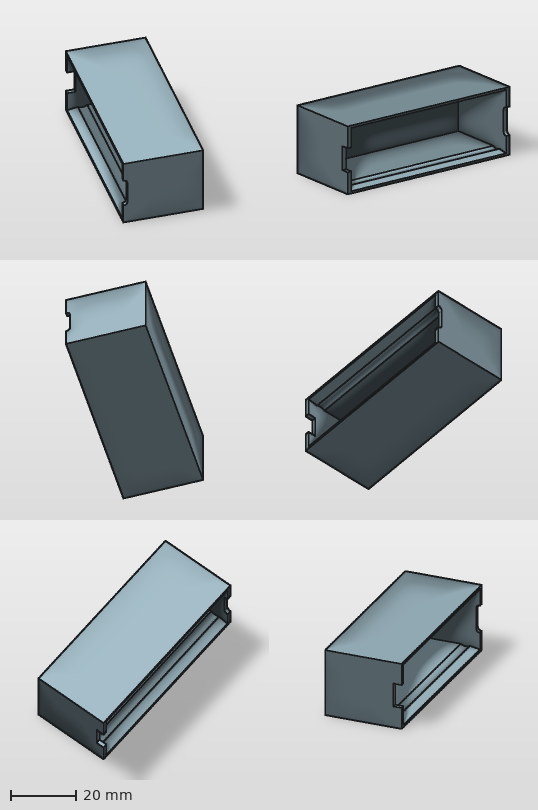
import cadquery as cq

LENGTH = 62.5
DEPTH = 25.5
HEIGHT = 22.0
END_WALL = 1.45
BACK_WALL = 1.45

MOUTH_WALL = 0.75
CREST_WALL = 1.3
PLATE_WALL = 1.5
CREST_INSET = 3.25
CREST_FLAT = 0.2
RELIEF_LENGTH = 3.0
RELIEF_DEPTH = 0.45

LEFT_NOTCH_DEPTH = 2.7
LEFT_NOTCH_HEIGHT = 7.75
RIGHT_NOTCH_DEPTH = 1.3
RIGHT_NOTCH_HEIGHT = 9.25

FRONT = -DEPTH / 2
BACK = DEPTH / 2


def cavity():
    """Extrude the inner section, symmetric about mid-height, along X."""
    mouth = HEIGHT / 2 - MOUTH_WALL
    crest = HEIGHT / 2 - CREST_WALL
    plate = HEIGHT / 2 - PLATE_WALL
    relief_bottom = (crest + plate) / 2 + RELIEF_DEPTH
    crest_y = FRONT + CREST_INSET
    relief_start_y = crest_y + CREST_FLAT
    relief_mid_y = relief_start_y + RELIEF_LENGTH / 2
    relief_end_y = relief_start_y + RELIEF_LENGTH
    inner_back = BACK - BACK_WALL
    return (
        cq.Workplane("YZ")
        .moveTo(FRONT, -mouth)
        .lineTo(crest_y, -crest)
        .lineTo(relief_start_y, -crest)
        .threePointArc((relief_mid_y, -relief_bottom), (relief_end_y, -plate))
        .lineTo(inner_back, -plate)
        .lineTo(inner_back, plate)
        .lineTo(relief_end_y, plate)
        .threePointArc((relief_mid_y, relief_bottom), (relief_start_y, crest))
        .lineTo(crest_y, crest)
        .lineTo(FRONT, mouth)
        .close()
        .extrude(LENGTH / 2 - END_WALL, both=True)
    )


def notch(side, depth, height):
    """Cutter for the front edge of the end wall on the given side (-1 or 1)."""
    return (
        cq.Workplane("XY")
        .box(END_WALL, 2 * depth, height)
        .translate((side * (LENGTH - END_WALL) / 2, FRONT, 0))
    )


left_notch = notch(-1, LEFT_NOTCH_DEPTH, LEFT_NOTCH_HEIGHT)
right_notch = notch(1, RIGHT_NOTCH_DEPTH, RIGHT_NOTCH_HEIGHT)
right_notch = right_notch.edges("|X and >Y").fillet(RIGHT_NOTCH_DEPTH)

result = cq.Workplane("XY").box(LENGTH, DEPTH, HEIGHT).cut(cavity()).cut(left_notch).cut(right_notch)